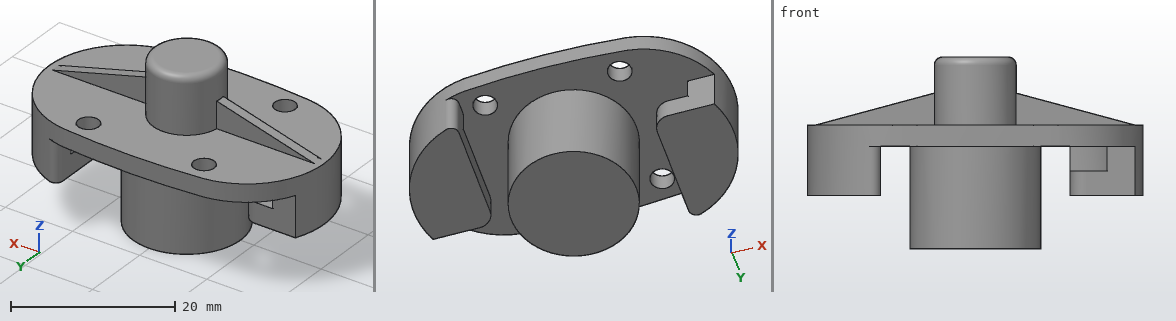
import cadquery as cq
import math

plate_length = 40.94
plate_width = 23.87
end_radius = 11.5
end_center_x = plate_length / 2 - end_radius
joint_x = 10.3

boss_height = 12.5
plate_thickness = 2.6
plate_top = boss_height + plate_thickness
total_height = 23.4

boss_diameter = 16.0
pin_diameter = 10.0
pin_edge_radius = 1.0

rib_width = 1.4
rib_tip_x = 19.5
rib_height_at_pin = 3.9

hole_diameter = 3.0
hole_offset = 8.6

leg_depth = 6.0
leg_inner_x = 11.55
leg_side_y = -4.7
leg_inner_corner_radius = 2.0
leg_outer_corner_radius = 1.0
undercut_height = 3.0
leg_wall = 3.0


def make_plate():
    """Oval plate: end arcs closed by shallow side arcs that bulge to the full width."""
    half_width = plate_width / 2
    joint_y = math.sqrt(end_radius**2 - (joint_x - end_center_x) ** 2)
    return (
        cq.Workplane("XY")
        .workplane(offset=boss_height)
        .moveTo(-joint_x, joint_y)
        .threePointArc((0, half_width), (joint_x, joint_y))
        .threePointArc((plate_length / 2, 0), (joint_x, -joint_y))
        .threePointArc((0, -half_width), (-joint_x, -joint_y))
        .threePointArc((-plate_length / 2, 0), (-joint_x, joint_y))
        .close()
        .extrude(plate_thickness)
    )


def make_boss():
    return cq.Workplane("XY").circle(boss_diameter / 2).extrude(boss_height)


def make_pin():
    return (
        cq.Workplane("XY")
        .workplane(offset=plate_top)
        .circle(pin_diameter / 2)
        .extrude(total_height - plate_top)
        .faces(">Z")
        .edges()
        .fillet(pin_edge_radius)
    )


def make_ribs():
    """Both ribs as one triangle; its apex lies inside the pin."""
    apex_height = rib_height_at_pin * rib_tip_x / (rib_tip_x - pin_diameter / 2)
    return (
        cq.Workplane("XZ")
        .moveTo(-rib_tip_x, plate_top)
        .lineTo(rib_tip_x, plate_top)
        .lineTo(0, plate_top + apex_height)
        .close()
        .extrude(rib_width / 2, both=True)
    )


def make_leg():
    """Leg at the +X end, undercut below the plate to leave a curved wall over a lip."""
    side_x = end_center_x + math.sqrt(end_radius**2 - leg_side_y**2)
    inner_y = math.sqrt(end_radius**2 - (leg_inner_x - end_center_x) ** 2)
    leg = (
        cq.Workplane("XY")
        .workplane(offset=boss_height - leg_depth)
        .moveTo(leg_inner_x, leg_side_y)
        .lineTo(side_x, leg_side_y)
        .threePointArc((plate_length / 2, 0), (leg_inner_x, inner_y))
        .close()
        .extrude(leg_depth)
    )
    leg = leg.edges("|Z and <X and <Y").fillet(leg_inner_corner_radius)
    leg = leg.edges("|Z and >Y").fillet(leg_outer_corner_radius)
    undercut = (
        cq.Workplane("XY")
        .workplane(offset=boss_height - undercut_height)
        .center(end_center_x, 0)
        .circle(end_radius - leg_wall)
        .extrude(undercut_height)
    )
    return leg.cut(undercut)


def make_holes():
    return (
        cq.Workplane("XY")
        .workplane(offset=boss_height)
        .rect(2 * hole_offset, 2 * hole_offset, forConstruction=True)
        .vertices()
        .circle(hole_diameter / 2)
        .extrude(plate_thickness)
    )


result = make_plate().cut(make_holes())
result = result.union(make_boss()).union(make_ribs()).union(make_pin())

for angle in (0, 180):
    result = result.union(make_leg().rotate((0, 0, 0), (0, 0, 1), angle))